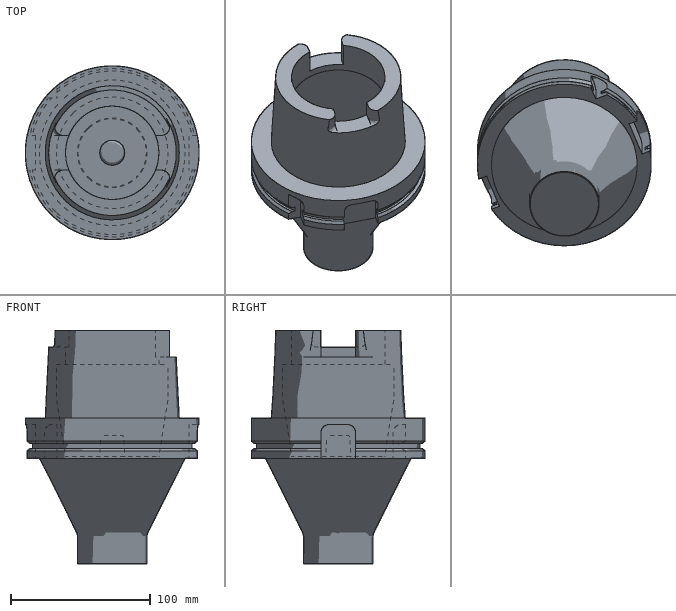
import cadquery as cq
import math


shank_length = 63.0
shank_base_radius = 48.2
shank_taper = 0.1
shank_top_radius = shank_base_radius - shank_length * shank_taper / 2

flange_radius = 62.46
flange_height = 28.9
groove_radius = 58.8
groove_lip_radius = 60.5
groove_upper_edge = -16.4
groove_upper_wall = -18.15
groove_lower_wall = -21.95
groove_lower_edge = -23.5

total_length = 167.9
bottom_z = shank_length - total_length
cone_top_radius = 52.35
neck_radius = 25.0
neck_top_z = -83.5
neck_blend_radius = 6.0
neck_chamfer = 0.5

bore_radius = 33.53
bore_lip_depth = 24.4
undercut_radius = 40.045
undercut_depth = 49.4
bore_cone_angle = 9.0
bore_depth = undercut_depth + (undercut_radius - bore_radius) / math.tan(math.radians(bore_cone_angle))

pin_base_radius = 9.0
pin_tip_radius = 8.35
pin_height = 15.0
pin_rounding = 1.6

slot_half_width = 12.5
shallow_slot_depth = 12.0
deep_slot_depth = 19.0
shallow_slot_fillet = 2.4
deep_slot_fillet = 0.0
slot_reach = 41.3
arm_end_radius = 6.0
arm_relief_limit = 27.0

pocket_top_z = -4.6
pocket_corner_radius = 6.0
key_half_width = 12.5
key_floor = 55.1
side_pocket_floor = 39.8
side_pocket_edge = 39.2

clearance = 10.0
edge_margin = 1.0


def make_body():
    """Revolved outside of shank, flange, cone and neck, without the bore."""
    profile = (
        cq.Workplane("XZ")
        .moveTo(0, shank_length)
        .lineTo(shank_top_radius, shank_length)
        .lineTo(shank_base_radius, 0)
        .lineTo(flange_radius, 0)
        .lineTo(flange_radius, groove_upper_edge)
        .lineTo(groove_lip_radius, groove_upper_wall)
        .lineTo(groove_radius, groove_upper_wall)
        .lineTo(groove_radius, groove_lower_wall)
        .lineTo(groove_lip_radius, groove_lower_wall)
        .lineTo(flange_radius, groove_lower_edge)
        .lineTo(flange_radius, -flange_height)
        .lineTo(cone_top_radius, -flange_height)
        .lineTo(neck_radius, neck_top_z)
        .lineTo(neck_radius, bottom_z)
        .lineTo(0, bottom_z)
        .close()
    )
    body = profile.revolve(360, (0, 0, 0), (0, 1, 0))
    reach = neck_radius + edge_margin
    neck_ring = cq.selectors.BoxSelector(
        (-reach, -reach, neck_top_z - edge_margin),
        (reach, reach, neck_top_z + edge_margin),
        boundingbox=True,
    )
    body = body.edges(neck_ring).fillet(neck_blend_radius)
    return body.faces("<Z").edges().chamfer(neck_chamfer)


def make_bore():
    """Bore with a lip, an undercut behind it and a cone down to the floor."""
    return (
        cq.Workplane("XZ")
        .moveTo(0, shank_length)
        .lineTo(bore_radius, shank_length)
        .lineTo(bore_radius, shank_length - bore_lip_depth)
        .lineTo(undercut_radius, shank_length - bore_lip_depth)
        .lineTo(undercut_radius, shank_length - undercut_depth)
        .lineTo(bore_radius, shank_length - bore_depth)
        .lineTo(0, shank_length - bore_depth)
        .close()
        .revolve(360, (0, 0, 0), (0, 1, 0))
    )


def make_pin():
    """Slightly tapered pin with a rounded tip, standing on the bore floor."""
    floor_z = shank_length - bore_depth
    pin = (
        cq.Workplane("XZ")
        .moveTo(0, floor_z)
        .lineTo(pin_base_radius, floor_z)
        .lineTo(pin_tip_radius, floor_z + pin_height)
        .lineTo(0, floor_z + pin_height)
        .close()
        .revolve(360, (0, 0, 0), (0, 1, 0))
    )
    return pin.faces(">Z").edges().fillet(pin_rounding)


def make_post(center_x, center_y, radius, floor_z, fillet):
    """Upright round post, flared by a concave fillet where it meets the slot floor."""
    top_z = shank_length + clearance
    outline = cq.Workplane("XZ", origin=(center_x, center_y, 0)).moveTo(0, floor_z)
    if fillet > 0:
        bend = fillet * (1 - math.sqrt(0.5))
        outline = (
            outline.lineTo(radius + fillet, floor_z)
            .threePointArc((radius + bend, floor_z + bend), (radius, floor_z + fillet))
        )
    else:
        outline = outline.lineTo(radius, floor_z)
    outline = outline.lineTo(radius, top_z).lineTo(0, top_z).close()
    return outline.revolve(360, (0, 0, 0), (0, 1, 0))


def box_between(low, high):
    """Box from its lowest to its highest corner."""
    size = [b - a for a, b in zip(low, high)]
    return cq.Workplane("XY").box(*size, centered=False).translate(low)


def make_drive_slot(depth, fillet):
    """Cutter for a slot on the +X side, with the rounded ends of the two arms beside it."""
    floor_z = shank_length - depth
    top_z = shank_length + clearance
    outer_x = shank_base_radius + clearance
    end_x = slot_reach - arm_end_radius
    end_y = slot_half_width + arm_end_radius
    relief = box_between((end_x, slot_half_width, floor_z), (outer_x, arm_relief_limit, top_z))
    end_post = make_post(end_x, end_y, arm_end_radius, floor_z, fillet)
    end_angle = math.degrees(math.atan2(end_y, end_x))
    side_distance = math.hypot(end_x, end_y) + arm_end_radius
    arm_side = box_between((0, 0, floor_z), (side_distance, arm_relief_limit, top_z))
    arm_side = arm_side.rotate((0, 0, 0), (0, 0, 1), end_angle)
    relief = relief.cut(end_post).cut(arm_side)
    slot = box_between((0, -slot_half_width, floor_z), (outer_x, slot_half_width, top_z))
    return slot.union(relief).union(relief.mirror("XZ"))


def make_flange_pocket(floor_x, y_low, y_high):
    """Cutter for a flat-floored pocket on the +X side, open to the flange underside."""
    pocket = box_between(
        (floor_x, y_low, -flange_height),
        (flange_radius + clearance, y_high, pocket_top_z),
    )
    return pocket.edges("|X and >Z").fillet(pocket_corner_radius)


def on_minus_x(cutter):
    """Turn a cutter from the +X side to the -X side."""
    return cutter.rotate((0, 0, 0), (0, 0, 1), 180)


key_pocket = make_flange_pocket(key_floor, -key_half_width, key_half_width)
side_pocket = make_flange_pocket(side_pocket_floor, -flange_radius - clearance, -side_pocket_edge)

result = (
    make_body()
    .cut(make_bore())
    .union(make_pin())
    .cut(make_drive_slot(deep_slot_depth, deep_slot_fillet))
    .cut(on_minus_x(make_drive_slot(shallow_slot_depth, shallow_slot_fillet)))
    .cut(key_pocket)
    .cut(on_minus_x(key_pocket))
    .cut(on_minus_x(side_pocket))
)